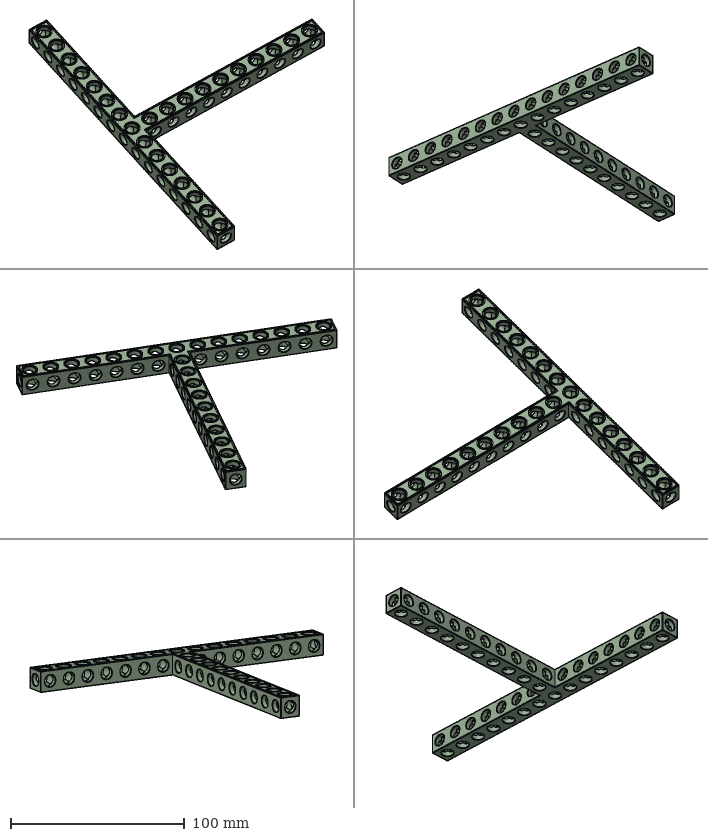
import cadquery as cq

bar_length = 187.5
bar_cells = 15
stem_cells = 10
pitch = bar_length / bar_cells
half = pitch / 2
stem_length = stem_cells * pitch

rim_width = 1.09
rim_ring_diameter = 9.2
recess_depth = 0.2

hole_diameter = rim_ring_diameter - 2 * rim_width
chamfer = 0.3

middle_column = bar_cells // 2
bar_centres = [(column - middle_column) * pitch for column in range(bar_cells)]
stem_centres = [row * pitch for row in range(1, stem_cells + 1)]
cell_centres = [(x, 0) for x in bar_centres] + [(0, y) for y in stem_centres]


def t_prism(inset, bottom_z, height):
    """T-shaped slab whose outline is moved inwards by the inset."""
    end = bar_length / 2 - inset
    side = half - inset
    tip = half + stem_length - inset
    outline = [
        (-end, -side),
        (end, -side),
        (end, side),
        (side, side),
        (side, tip),
        (-side, tip),
        (-side, side),
        (-end, side),
    ]
    return cq.Workplane("XY", origin=(0, 0, bottom_z)).polyline(outline).close().extrude(height)


def hole(start, direction, length):
    """Cutters for a straight through hole with a chamfer at both mouths."""
    radius = hole_diameter / 2
    mouth_radius = radius + chamfer
    start = cq.Vector(*start)
    direction = cq.Vector(*direction)
    end = start + direction * length
    return [
        cq.Solid.makeCylinder(radius, length, start, direction),
        cq.Solid.makeCone(mouth_radius, radius, chamfer, start, direction),
        cq.Solid.makeCone(mouth_radius, radius, chamfer, end, direction * -1),
    ]


def holes_along_z():
    """One vertical hole through every cell."""
    cutters = []
    for x, y in cell_centres:
        cutters += hole((x, y, -half), (0, 0, 1), pitch)
    return cutters


def holes_along_y():
    """One hole across every bar cell; the middle one runs on through the whole stem."""
    cutters = []
    for column, x in enumerate(bar_centres):
        length = pitch + stem_length if column == middle_column else pitch
        cutters += hole((x, -half, 0), (0, 1, 0), length)
    return cutters


def holes_along_x():
    """One hole through the full length of the bar and one across every stem cell."""
    cutters = hole((-bar_length / 2, 0, 0), (1, 0, 0), bar_length)
    for y in stem_centres:
        cutters += hole((-half, y, 0), (1, 0, 0), pitch)
    return cutters


def top_recess():
    """Cutter for the recess: the inset T less a ring-sized disc over every vertical hole."""
    floor_z = half - recess_depth
    discs = (
        cq.Workplane("XY", origin=(0, 0, floor_z))
        .pushPoints(cell_centres)
        .circle(rim_ring_diameter / 2)
        .extrude(recess_depth)
    )
    return t_prism(rim_width, floor_z, recess_depth).cut(discs)


body = t_prism(0, -half, pitch)
body = body.faces("<X or >X or <Y or >Y or <Z or >Z").edges().chamfer(chamfer)

cutters = holes_along_x() + holes_along_y() + holes_along_z()
drilled = body.val().cut(*cutters)
result = cq.Workplane(obj=drilled).cut(top_recess()).solids()